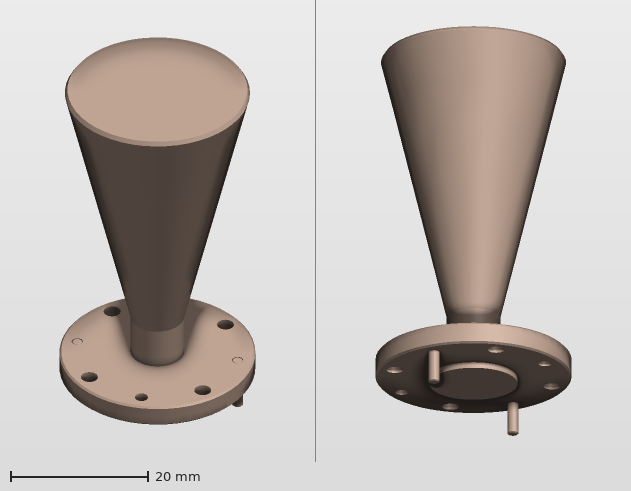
import cadquery as cq
import math

TOTAL_HEIGHT = 54.65
BOSS_BOTTOM = 3.8
FLANGE_BOTTOM = 4.7
FLANGE_THICKNESS = 3.2
FLANGE_TOP = FLANGE_BOTTOM + FLANGE_THICKNESS
CONE_BOTTOM = 14.15
RIM_HEIGHT = 0.6
CONE_TOP = TOTAL_HEIGHT - RIM_HEIGHT

FLANGE_DIAMETER = 28.6
FLANGE_CHAMFER = 0.3
BOSS_DIAMETER = 12.85
NECK_DIAMETER = 7.8
HORN_DIAMETER = 27.0
APERTURE_DIAMETER = 26.25

PITCH_RADIUS = 11.9
BOLT_HOLE_DIAMETER = 2.45
BOLT_ANGLES = (0, 90, 180, 270)
GUIDE_HOLE_DIAMETER = 1.9
GUIDE_ANGLES = (135, 315)
PIN_DIAMETER = 1.65
PIN_CHAMFER = 0.15
PIN_ANGLES = (45, 225)


def pitch_points(angles):
    """Points on the pitch circle at the given angles in degrees."""
    return [
        (PITCH_RADIUS * math.cos(math.radians(a)), PITCH_RADIUS * math.sin(math.radians(a)))
        for a in angles
    ]


def cylinder(diameter, bottom, top):
    return cq.Workplane("XY").workplane(offset=bottom).circle(diameter / 2).extrude(top - bottom)


def make_flange():
    """Chamfered disc with a shallow locating boss underneath."""
    disc = cylinder(FLANGE_DIAMETER, FLANGE_BOTTOM, FLANGE_TOP).edges().chamfer(FLANGE_CHAMFER)
    return disc.union(cylinder(BOSS_DIAMETER, BOSS_BOTTOM, FLANGE_BOTTOM))


def make_horn():
    """Straight neck, conical flare and bevelled rim, revolved about Z."""
    profile = [
        (0, FLANGE_TOP),
        (NECK_DIAMETER / 2, FLANGE_TOP),
        (NECK_DIAMETER / 2, CONE_BOTTOM),
        (HORN_DIAMETER / 2, CONE_TOP),
        (APERTURE_DIAMETER / 2, TOTAL_HEIGHT),
        (0, TOTAL_HEIGHT),
    ]
    return cq.Workplane("XZ").polyline(profile).close().revolve(360, (0, 0), (0, 1))


def drill_flange(body, diameter, angles):
    """Cut holes through the full thickness of the flange."""
    drills = (
        cq.Workplane("XY")
        .workplane(offset=FLANGE_BOTTOM)
        .pushPoints(pitch_points(angles))
        .circle(diameter / 2)
        .extrude(FLANGE_THICKNESS)
    )
    return body.cut(drills)


def make_pin(x, y):
    """Pin chamfered at both ends, with its upper end flush with the flange."""
    pin = cylinder(PIN_DIAMETER, 0, FLANGE_TOP).edges().chamfer(PIN_CHAMFER)
    return pin.translate((x, y, 0))


antenna = make_flange().union(make_horn())
antenna = drill_flange(antenna, BOLT_HOLE_DIAMETER, BOLT_ANGLES)
antenna = drill_flange(antenna, GUIDE_HOLE_DIAMETER, GUIDE_ANGLES)
antenna = drill_flange(antenna, PIN_DIAMETER, PIN_ANGLES)

pins = []
for pin_x, pin_y in pitch_points(PIN_ANGLES):
    pins.append(make_pin(pin_x, pin_y).val())

result = cq.Compound.makeCompound([antenna.val(), *pins])